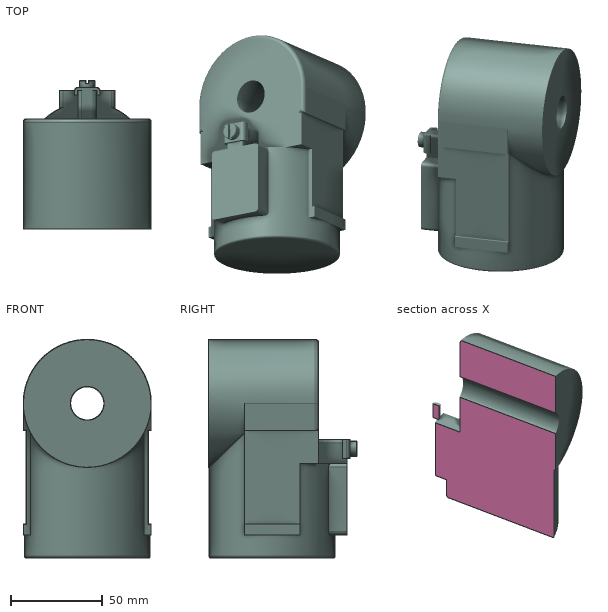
import cadquery as cq

head_dia = 70.0
head_depth = 60.5
bore_dia = 18.2
overall_height = 119.8
head_axis_z = overall_height - head_dia / 2
edge_round = 1.9

barrel_dia = 69.0
barrel_axis_y = 35.0
barrel_bottom_round = 1.2
shoulder_z = 51.7

plate_half_width = 33.4
plate_front_y = 19.8
plate_back_y = 2 * barrel_axis_y - plate_front_y
pad_half_width = head_dia / 2
pad_bottom_z = 69.9
lip_bottom_z = 12.7
lip_top_z = 18.7

block_back_y = 76.0
block_width = 30.5
neck_width = 10.0
neck_top_z = 65.0

clip_width = 13.9
clip_gap_width = 10.5
clip_height = 10.4
clip_back_y = 77.7
clip_leg_y = 73.5
clip_corner_round = 2.0
screw_dia = 8.5
screw_end_y = 81.5
screw_edge_chamfer = 0.4
slot_width = 1.4
slot_depth = 1.7


def centred_box(width, y_front, y_back, z_bottom, z_top):
    """Box symmetric about X = 0 between the given Y and Z limits."""
    size = (width, y_back - y_front, z_top - z_bottom)
    return cq.Workplane("XY").box(*size, centered=(True, False, False)).translate((0, y_front, z_bottom))


def cylinder_along_y(diameter, y_front, y_back, z):
    """Cylinder with its axis on X = 0 at height z."""
    plane = cq.Workplane("XZ", origin=(0, y_front, z))
    return plane.circle(diameter / 2).extrude(y_front - y_back)


def make_head():
    head = cylinder_along_y(head_dia, 0, head_depth, head_axis_z)
    pads = centred_box(2 * pad_half_width, plate_front_y, head_depth, pad_bottom_z, head_axis_z)
    return head.union(pads).faces(">Y").edges("not <Z").fillet(edge_round)


def make_barrel():
    barrel = cq.Workplane("XY").center(0, barrel_axis_y).circle(barrel_dia / 2).extrude(head_axis_z)
    barrel = barrel.faces("<Z").edges().fillet(barrel_bottom_round)
    behind_head = centred_box(barrel_dia, head_depth, block_back_y, shoulder_z, head_axis_z)
    keep_width = 2 * plate_half_width
    trim = centred_box(2 * head_dia, plate_front_y, plate_back_y, lip_top_z, head_axis_z)
    trim = trim.cut(centred_box(keep_width, plate_front_y, plate_back_y, lip_top_z, head_axis_z))
    return barrel.cut(behind_head).cut(trim)


def make_side_plates():
    width = 2 * plate_half_width
    lower = centred_box(width, plate_front_y, plate_back_y, lip_bottom_z, head_axis_z)
    upper = centred_box(width, plate_front_y, head_depth, shoulder_z, pad_bottom_z)
    lips = centred_box(2 * pad_half_width, plate_front_y, plate_back_y, lip_bottom_z, lip_top_z)
    return lower.union(upper).union(lips)


def make_terminal_block():
    block = centred_box(block_width, barrel_axis_y, block_back_y, lip_bottom_z, shoulder_z)
    block = block.edges("|Y").fillet(edge_round)
    neck = centred_box(neck_width, barrel_axis_y, block_back_y, lip_top_z, neck_top_z)
    neck = neck.edges("|Y and >Z").fillet(edge_round)
    return block.union(neck)


def make_clip():
    clip_bottom_z = neck_top_z - clip_height
    clip = centred_box(clip_width, clip_leg_y, clip_back_y, clip_bottom_z, neck_top_z)
    clip = clip.edges("|Z and >Y").fillet(clip_corner_round)
    return clip.cut(centred_box(clip_gap_width, clip_leg_y, block_back_y, clip_bottom_z, neck_top_z))


def make_screw():
    screw_z = neck_top_z - clip_height / 2
    screw = cylinder_along_y(screw_dia, clip_back_y, screw_end_y, screw_z)
    screw = screw.faces(">Y").edges().chamfer(screw_edge_chamfer)
    slot = centred_box(
        slot_width, screw_end_y - slot_depth, screw_end_y, screw_z - screw_dia, screw_z + screw_dia
    )
    return screw.cut(slot)


bore = cylinder_along_y(bore_dia, 0, block_back_y, head_axis_z)

result = make_head().union(make_barrel()).union(make_side_plates()).cut(bore)
result = result.union(make_terminal_block()).union(make_clip()).union(make_screw())